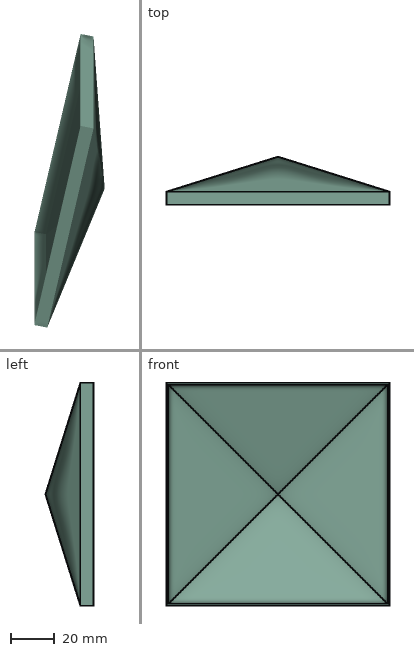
import cadquery as cq
import math

side = 102.0
total_depth = 22.0
skirt_depth = 6.0
wall = 1.0

roof_slope = (total_depth - skirt_depth) / (side / 2)
roof_drop = wall * math.hypot(1, roof_slope)
inner_side = side - 2 * wall
inner_apex = total_depth - roof_drop
inner_skirt_depth = inner_apex - roof_slope * inner_side / 2


def capped_block(width, skirt, apex):
    """Square block from Y = 0 to skirt, with a pyramid on top reaching Y = apex."""
    half = width / 2
    roof_profile = [(-half, 0), (half, 0), (half, skirt), (0, apex), (-half, skirt)]
    along_z = cq.Workplane("XY").polyline(roof_profile).close().extrude(half, both=True)
    along_x = along_z.rotate((0, 0, 0), (0, 1, 0), 90)
    return along_z.intersect(along_x)


outer = capped_block(side, skirt_depth, total_depth)
cavity = capped_block(inner_side, inner_skirt_depth, inner_apex)
result = outer.cut(cavity)